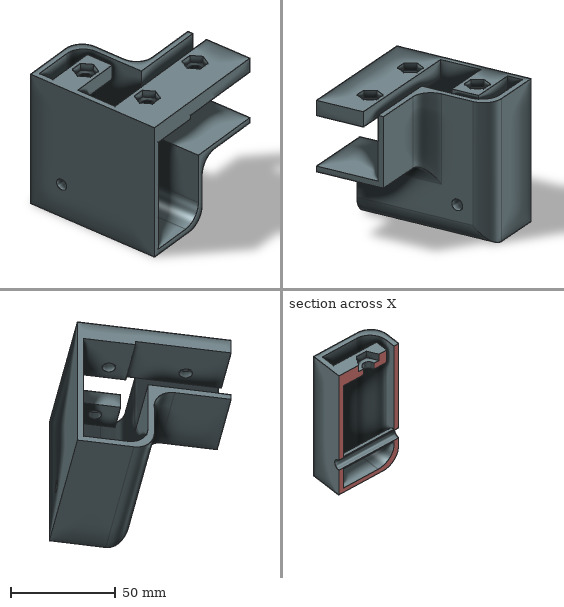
import cadquery as cq

size = 75.0
step = size / 2
wall = 3.0
corner_radius = 10.0

tab_thickness = 8.0
tab_margin = 7.5
short_tab_reach = 30.0
pad_thickness = 2.0
pad_length = 28.35

near = size / 4
far = size - near
screw_positions = [(near, near), (far, near), (far, far)]
screw_diameter = 6.4
nut_across_corners = 12.6
nut_depth = 4.0
nut_turn = 30.0

sleeve_diameter = 8.0
cross_hole_diameter = 6.0


def block(low, high):
    """Box between two opposite corners."""
    lengths = [b - a for a, b in zip(low, high)]
    return cq.Workplane("XY").box(*lengths, centered=False).translate(low)


def fillet_edge(solid, near_point):
    """Round the one edge whose middle is closest to near_point."""
    return solid.edges(cq.selectors.NearestToPointSelector(near_point)).fillet(corner_radius)


def plan_prism(inset):
    """Vertical prism with the -X, +Y quadrant left out, its walls moved inward by inset."""
    points = [
        (inset, inset),
        (size, inset),
        (size, size),
        (step + inset, size),
        (step + inset, step - inset),
        (inset, step - inset),
    ]
    prism = cq.Workplane("XY").polyline(points).close().extrude(size)
    return fillet_edge(prism, (inset, step - inset, size / 2))


def side_prism(inset):
    """Prism along X with the +Y, -Z quadrant left out, its walls moved inward by inset."""
    points = [
        (inset, inset),
        (step - inset, inset),
        (step - inset, step + inset),
        (size, step + inset),
        (size, size),
        (inset, size),
    ]
    prism = cq.Workplane("YZ").polyline(points).close().extrude(size)
    return fillet_edge(prism, (size / 2, step - inset, inset))


def make_shell():
    """Walls of the housing; the inner step edges stay sharp, the outer ones are rounded."""
    outer_plan = fillet_edge(plan_prism(0), (step, step, size / 2))
    outer_side = fillet_edge(side_prism(0), (size / 2, step, step))
    cavity = plan_prism(wall).intersect(side_prism(wall))
    return outer_plan.intersect(outer_side).cut(cavity)


def make_tabs():
    """Long tab along +X with a thicker front end, and a short tab from the front wall."""
    tab_bottom = size - tab_thickness
    long_tab_edge = far - tab_margin
    long_tab = block((long_tab_edge, 0, tab_bottom), (size, size, size))
    pad = block((long_tab_edge, 0, tab_bottom - pad_thickness), (size, pad_length, tab_bottom))
    short_tab = block((near - tab_margin, 0, tab_bottom), (near + tab_margin, short_tab_reach, size))
    return long_tab.union(pad).union(short_tab)


def make_screw_cutter(x, y):
    """Screw hole through a tab, with a nut pocket sunk from the top."""
    depth = tab_thickness + pad_thickness
    top = cq.Workplane("XY", origin=(x, y, size))
    hole = top.circle(screw_diameter / 2).extrude(-depth)
    pocket = top.transformed(rotate=(0, 0, nut_turn)).polygon(6, nut_across_corners).extrude(-nut_depth)
    return hole.union(pocket)


def cross_cylinder(diameter, length):
    """Cylinder along +Y from the front face, on the cross screw axis."""
    return cq.Workplane("XZ").center(near, near).circle(diameter / 2).extrude(-length)


sleeve = cross_cylinder(sleeve_diameter, step - wall / 2)
result = make_shell().union(make_tabs()).union(sleeve)
for x, y in screw_positions:
    result = result.cut(make_screw_cutter(x, y))
result = result.cut(cross_cylinder(cross_hole_diameter, step))